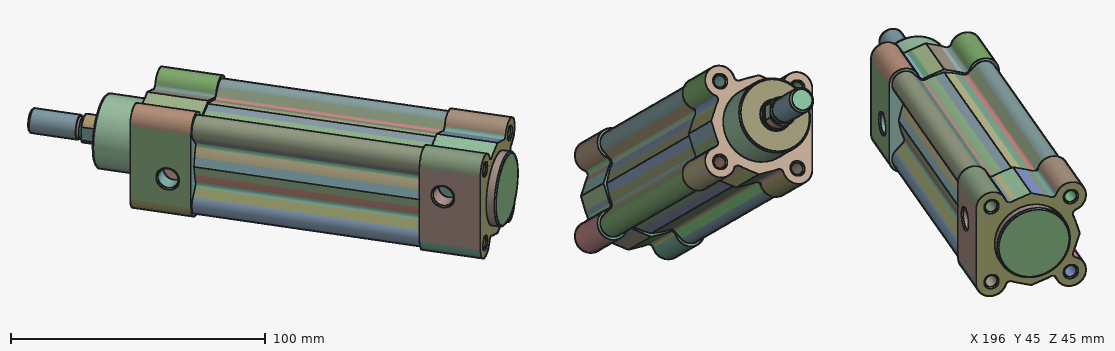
import cadquery as cq
import math


THREAD_END = 19.8
NECK_END = 21.0
SHANK_START = 22.1
FLAT_END = 27.5
WIPER_START = 28.0
WIPER_RIM = 29.0
NOSE_START = 29.8
FRONT_CAP_START = 47.8
CAP_LENGTH = 25.0
FRONT_CAP_END = FRONT_CAP_START + CAP_LENGTH
TOTAL_LENGTH = 196.0
SPIGOT_LENGTH = 4.0
REAR_CAP_END = TOTAL_LENGTH - SPIGOT_LENGTH
REAR_CAP_START = REAR_CAP_END - CAP_LENGTH

THREAD_DIA = 10.0
THREAD_CHAMFER = 0.8
NECK_DIA = 9.0
SHANK_DIA = 11.5
WRENCH_WIDTH = 10.0

OUTER_SIZE = 45.0
CORNER_OFFSET = 16.3
CAP_CORNER_RADIUS = OUTER_SIZE / 2 - CORNER_OFFSET
CAP_WALL_RADIUS = 19.0
CAP_RIDGE_ANGLE = 18.0
CAP_BLEND_RADIUS = 1.8

BARREL_CORNER_RADIUS = 5.0
BARREL_WALL_RADIUS = 18.2
BARREL_RIDGE_ANGLE = 12.5
BARREL_BLEND_RADIUS = 2.0

SPIGOT_DIA = 30.0
SPIGOT_CHAMFER = 0.5
WIPER_EDGE = 0.2
WIPER_RIM_DIA = 12.7

PORT_DIA = 8.5
PORT_DEPTH = 7.8
PORT_FROM_OUTER_FACE = 15.5
PORT_SHIFT = 4.9
SCREW_HOLE_DIA = 4.9
SCREW_HOLE_DEPTH = 15.7
HOLE_CHAMFER = 0.5


def polar(radius, angle):
    """Point at an angle in degrees, measured from the first axis of the section."""
    return cq.Vector(radius * math.cos(math.radians(angle)), radius * math.sin(math.radians(angle)))


def mid_arc(center, start, end):
    """Middle point of the short arc from start to end around the center."""
    middle = (start + end) * 0.5 - center
    return center + middle.normalized() * (start - center).Length


def mirrored(point):
    """Point mirrored in the 45 degree diagonal of the section."""
    return cq.Vector(point.y, point.x)


def quarter_turns(point, count):
    """Point turned about the axis by a number of quarter turns."""
    for _ in range(count):
        point = cq.Vector(-point.y, point.x)
    return point


def four_lobed_prism(start_x, end_x, wall_radius, ridge_angle, blend_radius, corner_radius, straight_necks):
    """Prism along X with four round corners and a round wall that rises to a ridge on each side.

    Hollow blends join the wall to the corners, either directly or along straight necks
    that are parallel to the diagonal and tangent to the corner.
    """
    corner = cq.Vector(CORNER_OFFSET, CORNER_OFFSET)
    corner_reach = blend_radius + corner_radius
    blend_reach = blend_radius + wall_radius
    if straight_necks:
        angle_to_diagonal = math.asin(corner_reach / blend_reach)
    else:
        angle_to_diagonal = math.acos(
            (blend_reach**2 + corner.Length**2 - corner_reach**2) / (2 * blend_reach * corner.Length)
        )
    blend_angle = 45 - math.degrees(angle_to_diagonal)
    blend_center = polar(blend_reach, blend_angle)

    ridge = polar(wall_radius / math.cos(math.radians(ridge_angle)), 0)
    wall_start = polar(wall_radius, ridge_angle)
    wall_end = polar(wall_radius, blend_angle)
    wall_middle = polar(wall_radius, (ridge_angle + blend_angle) / 2)
    if straight_necks:
        toward_diagonal = polar(1, 135)
        blend_end = blend_center + toward_diagonal * blend_radius
        corner_start = corner - toward_diagonal * corner_radius
    else:
        blend_end = blend_center + (corner - blend_center).normalized() * blend_radius
        corner_start = blend_end
    blend_middle = mid_arc(blend_center, wall_end, blend_end)
    corner_middle = corner + polar(corner_radius, 45)

    section = cq.Workplane("YZ", origin=(start_x, 0, 0)).moveTo(ridge.x, ridge.y)
    for turn in range(4):

        def place(point):
            return quarter_turns(point, turn).toTuple()[:2]

        section = section.lineTo(*place(wall_start))
        section = section.threePointArc(place(wall_middle), place(wall_end))
        section = section.threePointArc(place(blend_middle), place(blend_end))
        if straight_necks:
            section = section.lineTo(*place(corner_start))
        section = section.threePointArc(place(corner_middle), place(mirrored(corner_start)))
        if straight_necks:
            section = section.lineTo(*place(mirrored(blend_end)))
        section = section.threePointArc(place(mirrored(blend_middle)), place(mirrored(wall_end)))
        section = section.threePointArc(place(mirrored(wall_middle)), place(mirrored(wall_start)))
        section = section.lineTo(*place(mirrored(ridge)))
    return section.close().extrude(end_x - start_x)


def revolved(half_profile):
    """Solid turned about the X axis from (x, radius) points that begin and end on the axis."""
    return cq.Workplane("XY").polyline(half_profile).close().revolve(360, (0, 0, 0), (1, 0, 0))


def chamfered_drill(position, direction, diameter, depth):
    """Blind hole cutter with a chamfered mouth at the position."""
    drill = cq.Solid.makeCylinder(diameter / 2, depth, position, direction)
    mouth = cq.Solid.makeCone(diameter / 2 + HOLE_CHAMFER, diameter / 2, HOLE_CHAMFER, position, direction)
    return cq.Workplane(drill).union(cq.Workplane(mouth))


def make_cap(start_x, end_x, outer_face_x, inward, port_z):
    """Cap block with a flat -Y side, a port in it and four screw holes in the outer face."""
    cap = four_lobed_prism(
        start_x, end_x, CAP_WALL_RADIUS, CAP_RIDGE_ANGLE, CAP_BLEND_RADIUS, CAP_CORNER_RADIUS, False
    )
    flat_side = cq.Workplane("XY").box(
        end_x - start_x, CAP_CORNER_RADIUS, 2 * CORNER_OFFSET, centered=(False, False, True)
    )
    cap = cap.union(flat_side.translate((start_x, -OUTER_SIZE / 2, 0)))

    port_mouth = cq.Vector(outer_face_x + inward * PORT_FROM_OUTER_FACE, -OUTER_SIZE / 2, port_z)
    cap = cap.cut(chamfered_drill(port_mouth, cq.Vector(0, 1, 0), PORT_DIA, PORT_DEPTH))
    for y in (-CORNER_OFFSET, CORNER_OFFSET):
        for z in (-CORNER_OFFSET, CORNER_OFFSET):
            mouth = cq.Vector(outer_face_x, y, z)
            cap = cap.cut(chamfered_drill(mouth, cq.Vector(inward, 0, 0), SCREW_HOLE_DIA, SCREW_HOLE_DEPTH))
    return cap


def make_front_cap():
    """Front cap with a long round nose, a wiper lip and the bore for the rod."""
    cap = make_cap(FRONT_CAP_START, FRONT_CAP_END, FRONT_CAP_START, 1, -PORT_SHIFT)
    nose_radius = SPIGOT_DIA / 2
    nose = revolved([
        (WIPER_START, 0),
        (WIPER_START, SHANK_DIA / 2 + WIPER_EDGE),
        (WIPER_RIM, WIPER_RIM_DIA / 2),
        (NOSE_START, WIPER_RIM_DIA / 2),
        (NOSE_START, nose_radius - SPIGOT_CHAMFER),
        (NOSE_START + SPIGOT_CHAMFER, nose_radius),
        (FRONT_CAP_START, nose_radius),
        (FRONT_CAP_START, 0),
    ])
    rod_bore = revolved([
        (WIPER_START, 0),
        (WIPER_START, SHANK_DIA / 2),
        (FRONT_CAP_END, SHANK_DIA / 2),
        (FRONT_CAP_END, 0),
    ])
    return cap.union(nose).cut(rod_bore)


def make_rear_cap():
    """Rear cap with a short round spigot."""
    cap = make_cap(REAR_CAP_START, REAR_CAP_END, REAR_CAP_END, -1, PORT_SHIFT)
    spigot_radius = SPIGOT_DIA / 2
    spigot = revolved([
        (REAR_CAP_END, 0),
        (REAR_CAP_END, spigot_radius),
        (TOTAL_LENGTH - SPIGOT_CHAMFER, spigot_radius),
        (TOTAL_LENGTH, spigot_radius - SPIGOT_CHAMFER),
        (TOTAL_LENGTH, 0),
    ])
    return cap.union(spigot)


def make_barrel():
    """Profile tube body between the caps."""
    return four_lobed_prism(
        FRONT_CAP_END, REAR_CAP_START,
        BARREL_WALL_RADIUS, BARREL_RIDGE_ANGLE, BARREL_BLEND_RADIUS, BARREL_CORNER_RADIUS, True,
    )


def make_piston_rod():
    """Rod with a chamfered threaded end, a neck and two wrench flats, reaching the barrel."""
    thread_radius = THREAD_DIA / 2
    rod = revolved([
        (0, 0),
        (0, thread_radius - THREAD_CHAMFER),
        (THREAD_CHAMFER, thread_radius),
        (THREAD_END, thread_radius),
        (THREAD_END, NECK_DIA / 2),
        (NECK_END, NECK_DIA / 2),
        (SHANK_START, thread_radius),
        (SHANK_START, SHANK_DIA / 2),
        (FRONT_CAP_END, SHANK_DIA / 2),
        (FRONT_CAP_END, 0),
    ])
    for side in (-1, 1):
        flat_cutter = cq.Workplane("XY").box(
            FLAT_END - SHANK_START, SHANK_DIA, SHANK_DIA, centered=(False, True, True)
        )
        rod = rod.cut(flat_cutter.translate((SHANK_START, side * (WRENCH_WIDTH + SHANK_DIA) / 2, 0)))
    return rod


piston_rod = make_piston_rod()
front_cap = make_front_cap()
barrel = make_barrel()
rear_cap = make_rear_cap()

result = cq.Compound.makeCompound([piston_rod.val(), front_cap.val(), barrel.val(), rear_cap.val()])